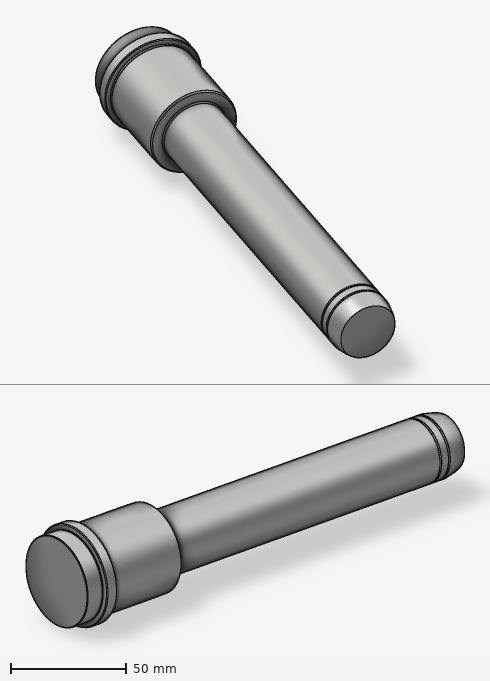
import cadquery as cq

total_length = 220.0
head_diameter = 42.0
collar_diameter = 47.0
shaft_diameter = 30.0

head_length = 53.7
collar_start = 9.0
collar_end = 14.7
collar_chamfer = 0.5
lead_length = 5.3
lead_drop = 0.1
head_front_chamfer = 0.33
head_end_chamfer = 0.7

relief_depth = 0.1
front_relief_width = 0.7
rear_relief_width = 1.3

root_bevel = 0.7

nose_length = 7.3
nose_drop = 1.8
nose_bulge = 0.2
groove_depth = 0.1
groove_width = 1.0
groove_starts = (204.5, 209.5)


def cylinder(start, end, diameter):
    """Solid cylinder on the X axis between two stations."""
    return cq.Workplane("YZ", origin=(start, 0, 0)).circle(diameter / 2).extrude(end - start)


def ring_groove(start, width, diameter, depth):
    """Cutter for a square ring groove in a cylinder of the given diameter."""
    outer = cylinder(start, start + width, diameter + depth)
    inner = cylinder(start, start + width, diameter - 2 * depth)
    return outer.cut(inner)


def revolve_about_axis(profile):
    """Full turn of a closed half profile about the X axis."""
    return profile.revolve(360, (0, 0, 0), (1, 0, 0))


def make_head():
    """Head cylinder with a front chamfer, a tapered lead-in and a rear chamfer."""
    radius = head_diameter / 2
    lead_start = head_length - lead_length
    end_radius = radius - lead_drop
    profile = (
        cq.Workplane("XY")
        .lineTo(0, radius - head_front_chamfer)
        .lineTo(head_front_chamfer, radius)
        .lineTo(lead_start, radius)
        .lineTo(head_length - head_end_chamfer, end_radius)
        .lineTo(head_length, end_radius - head_end_chamfer)
        .lineTo(head_length, 0)
        .close()
    )
    return revolve_about_axis(profile)


def make_collar():
    """Collar ring with both rims chamfered."""
    return cylinder(collar_start, collar_end, collar_diameter).edges("%CIRCLE").chamfer(collar_chamfer)


def make_shaft():
    """Shaft whose free end narrows along a slightly bulging arc."""
    radius = shaft_diameter / 2
    nose_start = total_length - nose_length
    profile = (
        cq.Workplane("XY")
        .moveTo(head_length, 0)
        .lineTo(head_length, radius + root_bevel)
        .lineTo(head_length + root_bevel, radius)
        .lineTo(nose_start, radius)
        .sagittaArc((total_length, radius - nose_drop), nose_bulge)
        .lineTo(total_length, 0)
        .close()
    )
    return revolve_about_axis(profile)


reliefs = (
    (collar_start - front_relief_width, front_relief_width),
    (collar_end, rear_relief_width),
)
head = make_head()
for relief_start, relief_width in reliefs:
    head = head.cut(ring_groove(relief_start, relief_width, head_diameter, relief_depth))

shaft = make_shaft()
for groove_start in groove_starts:
    shaft = shaft.cut(ring_groove(groove_start, groove_width, shaft_diameter, groove_depth))

result = head.union(make_collar()).union(shaft)